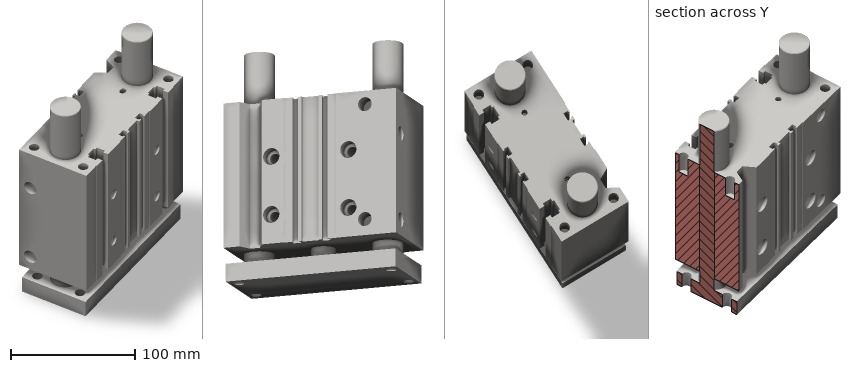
import cadquery as cq


total_height = 193.0
plate_thickness = 14.9
housing_bottom = 27.6
housing_top = 147.3
housing_height = housing_top - housing_bottom

housing_width = 64.0
housing_length = 148.0
half_width = housing_width / 2
half_length = housing_length / 2
back_end_relief = 0.5
back_end_relief_start = 58.7
waist_half_length = 22.5
waist_depth = 0.5
web_half_length = 7.1
web_depth = 2.9

small_slot_offset = 12.5
small_slot_mouth = 4.6
small_slot_cavity = 7.0
small_slot_lip_depth = 2.0
small_slot_depth = 5.8

large_slot_offset = 46.0
large_slot_mouth = 8.9
large_slot_cavity = 13.9
large_slot_lip_depth = 4.6
large_slot_cavity_depth = 12.2
large_slot_depth = 13.7

groove_center = 50.5
groove_mouth = 19.1
groove_floor = 8.3
groove_depth = 9.8

guide_rod_diameter = 25.0
guide_rod_chamfer = 0.5
guide_rod_offset = 55.0
guide_rod_length = total_height - plate_thickness
piston_rod_diameter = 20.0

plate_width = 60.0
plate_length = 145.7

corner_hole_diameter = 8.5
corner_hole_depth = 19.3
corner_x = 23.2
corner_y = 65.2
corner_points = [(x, y) for x in (-corner_x, corner_x) for y in (-corner_y, corner_y)]
plate_hole_diameter = 8.5
plate_hole_x = 20.0
plate_hole_points = [(x, y) for x in (-plate_hole_x, plate_hole_x) for y in (-corner_y, corner_y)]

locating_offset = 33.0
locating_diameter = 5.0
locating_slot_length = 6.2
locating_hole_depth = 9.6
locating_slot_depth = 5.8

mounting_y = 33.0
mounting_heights = (51.7, 99.8)
mounting_diameter = 8.7
counterbore_diameter = 13.9
counterbore_depth = 9.0

port_diameter = 11.5
port_depth = 13.5
front_port_y = -47.0
front_port_heights = (41.0, 136.0)
end_port_x = -21.5
end_port_heights = (40.5, 112.0)


def vertical_cut(x_start, x_end, y_center, length):
    """Rectangular cutter over the full housing height."""
    return (
        cq.Workplane("XY", origin=(0, 0, housing_bottom))
        .center((x_start + x_end) / 2, y_center)
        .rect(abs(x_end - x_start), length)
        .extrude(housing_height)
    )


def hole_along_x(y, z, diameter, depth):
    """Round cutter entering the front (-X) face."""
    return cq.Workplane("YZ", origin=(-half_width, y, z)).circle(diameter / 2).extrude(depth)


def hole_along_y(x, z, diameter, depth):
    """Round cutter entering the -Y end face."""
    return cq.Workplane("XZ", origin=(x, -half_length, z)).circle(diameter / 2).extrude(-depth)


def cut_side_profile(body):
    """Waist, web recess and small T-slots, alike on the -X and +X faces."""
    for side in (-1, 1):
        face = side * half_width
        waist_face = side * (half_width - waist_depth)
        body = body.cut(vertical_cut(face, waist_face, 0, 2 * waist_half_length))
        web_face = side * (half_width - web_depth)
        body = body.cut(vertical_cut(face, web_face, 0, 2 * web_half_length))
        lip_face = side * (half_width - small_slot_lip_depth)
        slot_floor = side * (half_width - small_slot_depth)
        for y in (-small_slot_offset, small_slot_offset):
            body = body.cut(vertical_cut(face, lip_face, y, small_slot_mouth))
            body = body.cut(vertical_cut(lip_face, slot_floor, y, small_slot_cavity))
    return body


def cut_back_face(body):
    """Relieved ends and large T-slots of the +X face."""
    relief_length = half_length - back_end_relief_start
    relief_center = (half_length + back_end_relief_start) / 2
    relief_face = half_width - back_end_relief
    lip_face = half_width - large_slot_lip_depth
    cavity_floor = half_width - large_slot_cavity_depth
    slot_floor = half_width - large_slot_depth
    for end in (-1, 1):
        body = body.cut(vertical_cut(half_width, relief_face, end * relief_center, relief_length))
        slot_y = end * large_slot_offset
        body = body.cut(vertical_cut(half_width, slot_floor, slot_y, large_slot_mouth))
        body = body.cut(vertical_cut(lip_face, cavity_floor, slot_y, large_slot_cavity))
    return body


def cut_tapered_groove(body):
    """Trapezoidal groove down the -X face."""
    floor_x = -half_width + groove_depth
    groove = (
        cq.Workplane("XY", origin=(0, 0, housing_bottom))
        .polyline(
            [
                (-half_width, groove_center - groove_mouth / 2),
                (floor_x, groove_center - groove_floor / 2),
                (floor_x, groove_center + groove_floor / 2),
                (-half_width, groove_center + groove_mouth / 2),
            ]
        )
        .close()
        .extrude(housing_height)
    )
    return body.cut(groove)


def cut_top_holes(body):
    """Guide bores, corner holes, and two locating holes, one opening into a slot."""
    top = cq.Workplane("XY", origin=(0, 0, housing_top))
    guide_points = [(0, -guide_rod_offset), (0, guide_rod_offset)]
    guide_bores = top.pushPoints(guide_points).circle(guide_rod_diameter / 2).extrude(-housing_height)
    corner_holes = top.pushPoints(corner_points).circle(corner_hole_diameter / 2).extrude(-corner_hole_depth)
    locating_points = [(0, -locating_offset), (0, locating_offset)]
    locating_holes = (
        top.pushPoints(locating_points).circle(locating_diameter / 2).extrude(-locating_hole_depth)
    )
    locating_slot = (
        top.center(0, locating_offset)
        .slot2D(locating_slot_length, locating_diameter, 90)
        .extrude(-locating_slot_depth)
    )
    return body.cut(guide_bores).cut(corner_holes).cut(locating_holes).cut(locating_slot)


def cut_mounting_holes(body):
    """Through holes along X with counterbores on the -X face."""
    for y in (-mounting_y, mounting_y):
        for z in mounting_heights:
            body = body.cut(hole_along_x(y, z, mounting_diameter, housing_width))
            body = body.cut(hole_along_x(y, z, counterbore_diameter, counterbore_depth))
    return body


def cut_ports(body):
    """Blind air ports in the -X face and the -Y end."""
    for z in front_port_heights:
        body = body.cut(hole_along_x(front_port_y, z, port_diameter, port_depth))
    for z in end_port_heights:
        body = body.cut(hole_along_y(end_port_x, z, port_diameter, port_depth))
    return body


def make_housing():
    body = vertical_cut(-half_width, half_width, 0, housing_length)
    body = cut_side_profile(body)
    body = cut_back_face(body)
    body = cut_tapered_groove(body)
    body = cut_top_holes(body)
    body = cut_mounting_holes(body)
    return cut_ports(body)


def make_slide():
    """Tool plate with two guide rods, and a piston rod that ends at the housing underside."""
    plate = cq.Workplane("XY").rect(plate_width, plate_length).extrude(plate_thickness)
    plate_holes = (
        cq.Workplane("XY")
        .pushPoints(plate_hole_points)
        .circle(plate_hole_diameter / 2)
        .extrude(plate_thickness)
    )
    slide = plate.cut(plate_holes)
    plate_top = cq.Workplane("XY", origin=(0, 0, plate_thickness))
    for y in (-guide_rod_offset, guide_rod_offset):
        rod = plate_top.center(0, y).circle(guide_rod_diameter / 2).extrude(guide_rod_length)
        rod = rod.faces(">Z").chamfer(guide_rod_chamfer)
        slide = slide.union(rod)
    piston_rod = plate_top.circle(piston_rod_diameter / 2).extrude(housing_bottom - plate_thickness)
    return slide.union(piston_rod)


housing = make_housing()
slide = make_slide()

result = cq.Compound.makeCompound([housing.val(), slide.val()])